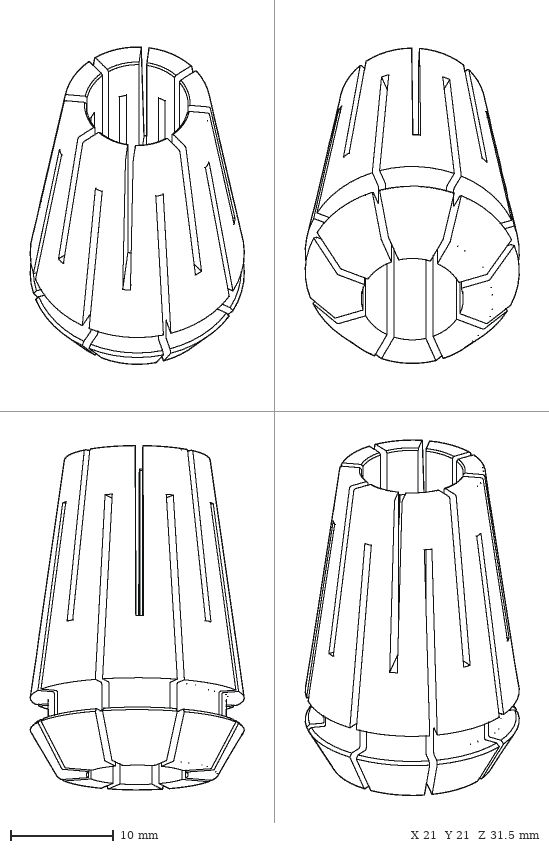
import cadquery as cq
import math

height = 31.5
outer_radius = 10.5
bore_radius = 10.0 / 2

taper_angle = 8.0
taper_bottom = 7.65
top_radius = outer_radius - (height - taper_bottom) * math.tan(math.radians(taper_angle))
top_round = 0.25
bore_chamfer = 0.2

groove_radius = 8.73
collar_top = 4.8
groove_round = 0.2

collar_angle = 30.0
collar_edge_chamfer = 0.3
collar_rim = collar_top - collar_edge_chamfer
base_radius = outer_radius - collar_rim * math.tan(math.radians(collar_angle))
base_round = 0.15

slot_count = 8
slot_width = 0.75
slot_pitch = 360.0 / slot_count
lower_slot_top = 26.55
upper_slot_bottom = 14.05


def make_body():
    """Revolved collet body with its bore."""
    outline = [
        (bore_radius, 0),
        (base_radius, 0),
        (outer_radius, collar_rim),
        (outer_radius - collar_edge_chamfer, collar_top),
        (groove_radius, collar_top),
        (groove_radius, taper_bottom),
        (outer_radius, taper_bottom),
        (top_radius, height),
        (bore_radius, height),
    ]
    return cq.Workplane("XZ").polyline(outline).close().revolve(360, (0, 0), (0, 1))


def soften_edges(body):
    """Round the groove corners and both outer end edges, and chamfer the mouth of the bore."""
    smallest = cq.selectors.RadiusNthSelector(0)
    largest = cq.selectors.RadiusNthSelector(-1)
    groove_corners = cq.selectors.RadiusNthSelector(3)
    body = body.edges(groove_corners).fillet(groove_round)
    body = body.faces(">Z").edges(largest).fillet(top_round)
    body = body.faces("<Z").edges(largest).fillet(base_round)
    return body.faces(">Z").edges(smallest).chamfer(bore_chamfer)


def cut_slots(body, bottom, top, first_angle):
    """Cut evenly spaced radial slots from the bore out through the wall."""
    slot_length = 2 * outer_radius
    slot = (
        cq.Workplane("XY")
        .box(slot_length, slot_width, top - bottom, centered=(False, True, False))
        .translate((0, 0, bottom))
    )
    for index in range(slot_count):
        angle = first_angle + index * slot_pitch
        body = body.cut(slot.rotate((0, 0, 0), (0, 0, 1), angle))
    return body


result = soften_edges(make_body())
result = cut_slots(result, 0, lower_slot_top, 0)
result = cut_slots(result, upper_slot_bottom, height, slot_pitch / 2)